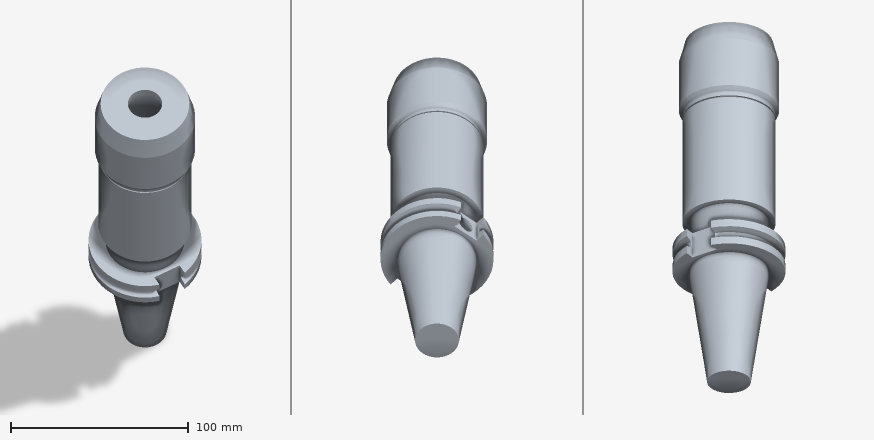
import cadquery as cq

total_height = 220.6
gauge_height = 68.5
flange_bottom = 71.7
flange_top = 87.5
body_bottom = 103.7
relief_bottom = 170.8
relief_top = 171.9
collar_chamfer_bottom = 174.8
collar_bottom = 177.5
nose_bottom = 207.9

shank_radius = 22.3
flange_radius = 31.8
body_radius = 26.3
relief_radius = 25.2
collar_radius = 28.2
nose_radius = 25.0

taper_slope = 7 / 24 / 2
taper_tip_radius = shank_radius - gauge_height * taper_slope

groove_radius = 27.8
groove_floor_width = 3.8
groove_mouth_width = 6.6

slot_width = 16.3
slot_floor_distance = 25.0
slot_hole_diameter = 10.0
slot_hole_depth = 8.8

bore_diameter = 19.2
bore_depth = 48.5

flange_height = flange_top - flange_bottom
flange_middle = (flange_top + flange_bottom) / 2


def make_turned_body():
    """Revolve the taper, flange, body and collar about Z."""
    profile = [
        (0, 0),
        (taper_tip_radius, 0),
        (shank_radius, gauge_height),
        (shank_radius, flange_bottom),
        (flange_radius, flange_bottom),
        (flange_radius, flange_middle - groove_mouth_width / 2),
        (groove_radius, flange_middle - groove_floor_width / 2),
        (groove_radius, flange_middle + groove_floor_width / 2),
        (flange_radius, flange_middle + groove_mouth_width / 2),
        (flange_radius, flange_top),
        (shank_radius, flange_top),
        (shank_radius, body_bottom),
        (body_radius, body_bottom),
        (body_radius, relief_bottom),
        (relief_radius, relief_bottom),
        (relief_radius, relief_top),
        (body_radius, relief_top),
        (body_radius, collar_chamfer_bottom),
        (collar_radius, collar_bottom),
        (collar_radius, nose_bottom),
        (nose_radius, total_height),
        (0, total_height),
    ]
    return cq.Workplane("XZ").polyline(profile).close().revolve(360, (0, 0), (0, 1))


def make_drive_slot(side):
    """Block that cuts the flange on the -X (side = -1) or +X (side = 1) side."""
    slot_depth = flange_radius - slot_floor_distance
    slot_center = side * (slot_floor_distance + slot_depth / 2)
    block = cq.Workplane("XY").box(slot_depth, slot_width, flange_height)
    return block.translate((slot_center, 0, flange_middle))


def make_slot_hole():
    """Blind radial hole running inward from the -X slot floor."""
    plane = cq.Workplane("YZ", origin=(-slot_floor_distance, 0, flange_middle))
    return plane.circle(slot_hole_diameter / 2).extrude(slot_hole_depth)


def make_tool_bore():
    """Blind bore running down from the nose."""
    plane = cq.Workplane("XY", origin=(0, 0, total_height))
    return plane.circle(bore_diameter / 2).extrude(-bore_depth)


result = make_turned_body()
for side in (-1, 1):
    result = result.cut(make_drive_slot(side))
result = result.cut(make_slot_hole()).cut(make_tool_bore())